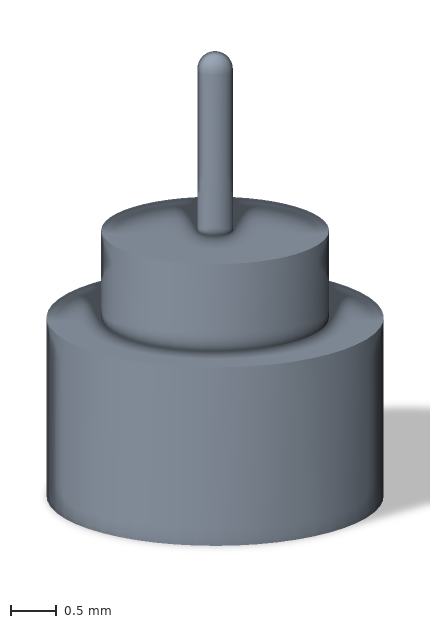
import cadquery as cq

base_diameter = 3.7
base_height = 2.05
collar_diameter = 2.5
collar_height = 1.0
insulator_diameter = 1.95
pin_diameter = 0.39
pin_length = 2.05

pin_radius = pin_diameter / 2
collar_top = base_height + collar_height


def make_shell():
    """Stepped round body with a socket in the collar for the insulator."""
    base = cq.Workplane("XY").circle(base_diameter / 2).extrude(base_height)
    collar = (
        cq.Workplane("XY", origin=(0, 0, base_height))
        .circle(collar_diameter / 2)
        .circle(insulator_diameter / 2)
        .extrude(collar_height)
    )
    return base.union(collar)


def make_insulator():
    """Disc that fills the collar flush with its top face."""
    return (
        cq.Workplane("XY", origin=(0, 0, base_height))
        .circle(insulator_diameter / 2)
        .extrude(collar_height)
    )


def make_pin():
    """Round contact pin with a hemispherical tip."""
    shank_length = pin_length - pin_radius
    shank = cq.Workplane("XY", origin=(0, 0, collar_top)).circle(pin_radius).extrude(shank_length)
    tip = cq.Workplane("XY", origin=(0, 0, collar_top + shank_length)).sphere(pin_radius)
    return shank.union(tip)


result = make_shell().union(make_insulator(), clean=False).union(make_pin(), clean=False)